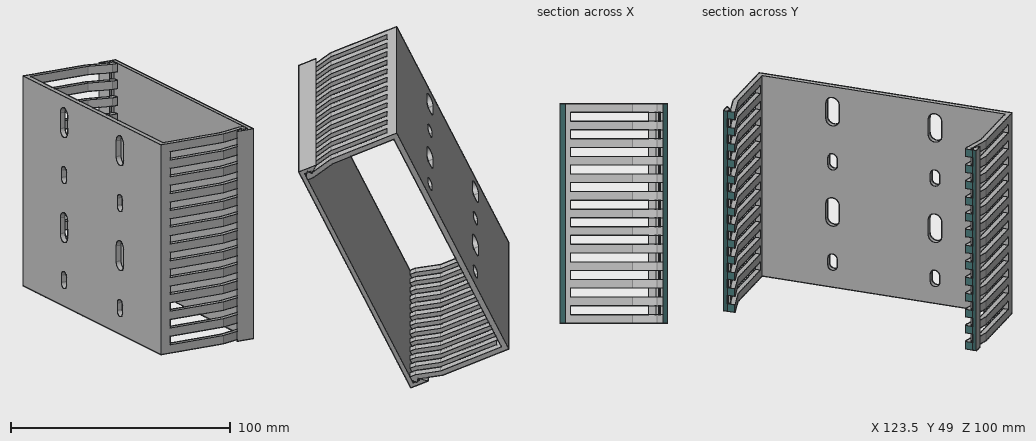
import cadquery as cq

WIDTH = 123.5
DEPTH = 49.0
LENGTH = 100.0
BACK_Y = DEPTH / 2
FRONT_Y = -DEPTH / 2

COVER_THICKNESS = 2.1
LEG_THICKNESS = 2.0
LEG_LENGTH = 8.8
HOOK_REACH = 3.2
HOOK_DEPTH = 5.2

BASE_THICKNESS = 2.6
WALL_THICKNESS = 2.5
BEND_DEPTH = 16.0
FINGER_REACH = 5.4
HEAD_DEPTH = 4.8
BARB_TOP_REACH = 3.6
BARB_TIP_REACH = 1.4
BARB_TIP_DEPTH = 3.7
CONTACT_REACH = 2.7

SLOT_COUNT = 12
SLOT_HEIGHT = LENGTH / (2 * SLOT_COUNT + 1)
SLOT_FLOOR = 5.0

HOLE_COLUMN_PITCH = 50.0
HOLE_ROW_PITCH = HOLE_COLUMN_PITCH / 2
HOLE_ROWS = 4
LARGE_HOLE_LENGTH = 14.1
LARGE_HOLE_WIDTH = 6.5
SMALL_HOLE_LENGTH = 8.0
SMALL_HOLE_WIDTH = 4.6

UPPER_FLANK_SLOPE = (BARB_TIP_DEPTH - COVER_THICKNESS) / (BARB_TOP_REACH - BARB_TIP_REACH)
LOWER_FLANK_SLOPE = (HOOK_DEPTH - BARB_TIP_DEPTH) / (HOOK_REACH - BARB_TIP_REACH)
GROOVE_CUT = LEG_THICKNESS - BARB_TIP_REACH
GROOVE_TOP = BARB_TIP_DEPTH - GROOVE_CUT * UPPER_FLANK_SLOPE
GROOVE_BOTTOM = BARB_TIP_DEPTH + GROOVE_CUT * LOWER_FLANK_SLOPE

HOOK_SLOPE = (LEG_LENGTH - HOOK_DEPTH) / HOOK_REACH
CONTACT_DEPTH = LEG_LENGTH - CONTACT_REACH * HOOK_SLOPE


def symmetric_extrusion(half_outline):
    """Extrude a profile given by its left half as (distance in from the side, depth from the back)."""
    left = [(inset - WIDTH / 2, BACK_Y - depth) for inset, depth in half_outline]
    right = [(-x, y) for x, y in reversed(left)]
    return cq.Workplane("XY").polyline(left + right).close().extrude(LENGTH / 2, both=True)


def make_cover():
    return symmetric_extrusion([
        (0, 0),
        (0, LEG_LENGTH),
        (HOOK_REACH, HOOK_DEPTH),
        (LEG_THICKNESS, HOOK_DEPTH),
        (LEG_THICKNESS, GROOVE_BOTTOM),
        (BARB_TIP_REACH, BARB_TIP_DEPTH),
        (LEG_THICKNESS, GROOVE_TOP),
        (LEG_THICKNESS, COVER_THICKNESS),
    ])


def make_duct_profile():
    return symmetric_extrusion([
        (0, DEPTH),
        (0, BEND_DEPTH),
        (CONTACT_REACH, CONTACT_DEPTH),
        (HOOK_REACH, HOOK_DEPTH),
        (BARB_TIP_REACH, BARB_TIP_DEPTH),
        (BARB_TOP_REACH, COVER_THICKNESS),
        (FINGER_REACH, COVER_THICKNESS),
        (FINGER_REACH, HEAD_DEPTH),
        (WALL_THICKNESS, BEND_DEPTH),
        (WALL_THICKNESS, DEPTH - BASE_THICKNESS),
    ])


def finger_slots():
    """Boxes across both side walls, open at the finger ends."""
    slot_depth = DEPTH - SLOT_FLOOR
    centres = [(0, (i - (SLOT_COUNT - 1) / 2) * 2 * SLOT_HEIGHT) for i in range(SLOT_COUNT)]
    return (
        cq.Workplane("XZ", origin=(0, BACK_Y, 0))
        .pushPoints(centres)
        .rect(WIDTH, SLOT_HEIGHT)
        .extrude(slot_depth)
    )


def mounting_holes(first_row, length, width):
    """Upright oblong holes through the base, in every second row counted from the top."""
    centres = [
        (side * HOLE_COLUMN_PITCH / 2, ((HOLE_ROWS - 1) / 2 - row) * HOLE_ROW_PITCH)
        for side in (-1, 1)
        for row in range(first_row, HOLE_ROWS, 2)
    ]
    return (
        cq.Workplane("XZ", origin=(0, FRONT_Y, 0))
        .pushPoints(centres)
        .slot2D(length, width, 90)
        .extrude(-BASE_THICKNESS)
    )


def make_duct():
    return (
        make_duct_profile()
        .cut(finger_slots())
        .cut(mounting_holes(0, LARGE_HOLE_LENGTH, LARGE_HOLE_WIDTH))
        .cut(mounting_holes(1, SMALL_HOLE_LENGTH, SMALL_HOLE_WIDTH))
    )


duct = make_duct()
cover = make_cover()

result = cq.Compound.makeCompound([duct.val(), cover.val()])